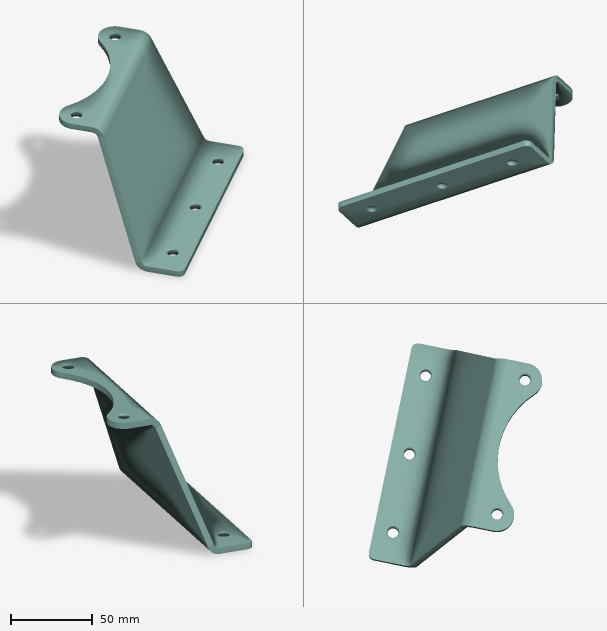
import cadquery as cq
import math

length_x = 86.2
width_y = 137.8
height_z = 90.4
thickness = 4.0
bend_inner = 4.0
bend_outer = bend_inner + thickness
bend_angle = math.radians(70)

upper_flat = 23.5
lobe_radius = 10.5
lobe_half_spacing = 42.9
upper_width = 2 * (lobe_half_spacing + lobe_radius)
cutout_radius = 50.0

lower_corner_radius = 4.0
lower_hole_inset = 12.0
lower_hole_spacing = 50.0

hole_diameter = 6.6
hole_rim_diameter = 8.0

sine = math.sin(bend_angle)
cosine = math.cos(bend_angle)
upper_bend_center = (upper_flat, height_z - bend_outer)
web_drop = height_z - 2 * bend_outer + (bend_outer + bend_inner) * cosine
web_run = web_drop / math.tan(bend_angle)
lower_bend_x = upper_flat + (bend_outer + bend_inner) * sine + web_run
lower_bend_center = (lower_bend_x, bend_outer)
lower_flat = length_x - lower_bend_x


def bend(center, side, width):
    """Bent strip; side is 1 for the upper bend and -1 for the lower bend."""
    def arc_point(radius, angle):
        return (
            center[0] + side * radius * math.sin(angle),
            center[1] + side * radius * math.cos(angle),
        )

    return (
        cq.Workplane("XZ")
        .moveTo(*arc_point(bend_inner, 0))
        .lineTo(*arc_point(bend_outer, 0))
        .threePointArc(arc_point(bend_outer, bend_angle / 2), arc_point(bend_outer, bend_angle))
        .lineTo(*arc_point(bend_inner, bend_angle))
        .threePointArc(arc_point(bend_inner, bend_angle / 2), arc_point(bend_inner, 0))
        .close()
        .extrude(width / 2, both=True)
    )


def upper_flange():
    center_distance = cutout_radius + lobe_radius
    center_offset = math.sqrt(center_distance**2 - lobe_half_spacing**2)
    cutout_x = lobe_radius - center_offset
    tangent_x = cutout_x + center_offset * cutout_radius / center_distance
    tangent_y = lobe_half_spacing * cutout_radius / center_distance

    side_angle = (math.pi / 2 + math.pi + math.atan2(lobe_half_spacing, center_offset)) / 2
    lobe_mid_x = lobe_radius + lobe_radius * math.cos(side_angle)
    lobe_mid_y = lobe_half_spacing + lobe_radius * math.sin(side_angle)
    return (
        cq.Workplane("XY", origin=(0, 0, height_z - thickness))
        .moveTo(upper_flat, -upper_width / 2)
        .lineTo(upper_flat, upper_width / 2)
        .lineTo(lobe_radius, upper_width / 2)
        .threePointArc((lobe_mid_x, lobe_mid_y), (tangent_x, tangent_y))
        .threePointArc((cutout_x + cutout_radius, 0), (tangent_x, -tangent_y))
        .threePointArc((lobe_mid_x, -lobe_mid_y), (lobe_radius, -upper_width / 2))
        .close()
        .extrude(thickness)
    )


def lower_flange():
    return (
        cq.Workplane("XY")
        .box(lower_flat, width_y, thickness, centered=(False, True, False))
        .edges("|Z and >X")
        .fillet(lower_corner_radius)
        .translate((lower_bend_x, 0, 0))
    )


def web():
    """Sloping trapezoid between the bends, with its ends square to the sheet."""
    web_length = web_drop / sine
    origin = (
        upper_bend_center[0] + bend_inner * sine,
        0,
        upper_bend_center[1] + bend_inner * cosine,
    )
    plane = cq.Plane(origin=origin, xDir=(cosine, 0, -sine), normal=(sine, 0, cosine))
    return (
        cq.Workplane(plane)
        .polyline([
            (0, -upper_width / 2),
            (web_length, -width_y / 2),
            (web_length, width_y / 2),
            (0, upper_width / 2),
        ])
        .close()
        .extrude(thickness)
    )


def flange_holes(body, top_z, points):
    """Through holes with a chamfered upper rim."""
    return (
        body.copyWorkplane(cq.Workplane("XY", origin=(0, 0, top_z)))
        .pushPoints(points)
        .cskHole(hole_diameter, hole_rim_diameter, 90, depth=thickness)
    )


result = (
    upper_flange()
    .union(bend(upper_bend_center, 1, upper_width))
    .union(web())
    .union(bend(lower_bend_center, -1, width_y))
    .union(lower_flange())
)

upper_holes = [(lobe_radius, side * lobe_half_spacing) for side in (-1, 1)]
result = flange_holes(result, height_z, upper_holes)

lower_hole_x = length_x - lower_hole_inset
lower_holes = [(lower_hole_x, row * lower_hole_spacing) for row in (-1, 0, 1)]
result = flange_holes(result, thickness, lower_holes)